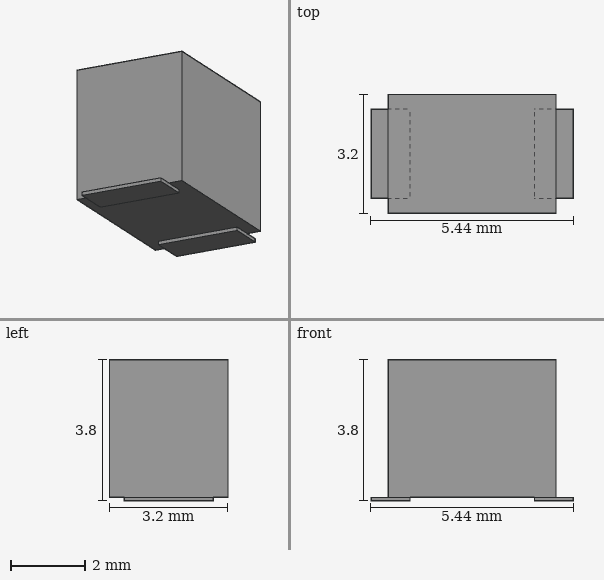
import cadquery as cq

overall_length = 5.44
overall_height = 3.8

terminal_length = 1.05
terminal_width = 2.4
terminal_thickness = 0.1

housing_length = 4.52
housing_width = 3.2
housing_height = overall_height - terminal_thickness

terminal_offset = (overall_length - terminal_length) / 2


def make_housing():
    """Block whose underside lies on the top faces of the terminals."""
    block = cq.Workplane("XY").box(
        housing_length, housing_width, housing_height, centered=(True, True, False)
    )
    return block.translate((0, 0, terminal_thickness))


def make_terminal(side):
    """Flat terminal at the -X end (side = -1) or the +X end (side = 1)."""
    plate = cq.Workplane("XY").box(
        terminal_length, terminal_width, terminal_thickness, centered=(True, True, False)
    )
    return plate.translate((side * terminal_offset, 0, 0))


housing = make_housing()
terminals = [make_terminal(side) for side in (-1, 1)]

result = cq.Compound.makeCompound(
    [housing.val(), *[terminal.val() for terminal in terminals]]
)